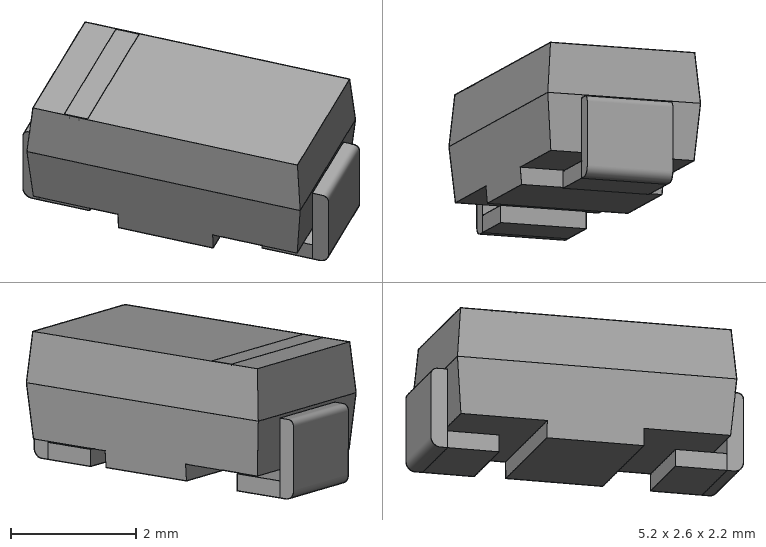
import cadquery as cq
import math

overall_length = 5.2
overall_height = 2.2

body_length = 4.65
body_width = 2.6
parting_height = 1.36
body_bottom = 0.435
draft_angle = 5.0

pad_length = 1.61
pad_bottom = 0.155

band_length = 0.395
band_width = 2.42
band_start_x = -1.72
band_depth = 0.05

lead_width = 1.455
plate_thickness = (overall_length - body_length) / 2
plate_height = 1.31
plate_top_radius = 0.105
plate_bottom_radius = 0.155
foot_length = 0.86
foot_thickness = 0.28


def drafted_block(end_height):
    """Block that narrows from the parting plane to end_height, above or below it."""
    height = abs(end_height - parting_height)
    inset = height * math.tan(math.radians(draft_angle))
    return (
        cq.Workplane("XY")
        .workplane(offset=parting_height)
        .rect(body_length, body_width)
        .workplane(offset=end_height - parting_height)
        .rect(body_length - 2 * inset, body_width - 2 * inset)
        .loft(ruled=True, combine=True)
    )


def make_band():
    """Thin strip across the top face."""
    return (
        cq.Workplane("XY")
        .box(band_length, band_width, band_depth, centered=(False, True, False))
        .translate((band_start_x, 0, overall_height - band_depth))
    )


def make_upper_body(band):
    """Upper moulding, with a recess that holds the band."""
    return drafted_block(overall_height).cut(band)


def make_lower_body():
    """Lower moulding, with the standoff pad continuing its side draft."""
    pad_zone = (
        cq.Workplane("XY")
        .box(pad_length, body_width, parting_height - pad_bottom, centered=(True, True, False))
        .translate((0, 0, pad_bottom))
    )
    pad = drafted_block(pad_bottom).intersect(pad_zone)
    return drafted_block(body_bottom).union(pad)


def make_plate(side):
    """Upright lead plate with rounded outer edges; side is -1 or +1 along X."""
    center_x = side * (overall_length - plate_thickness) / 2
    outer_face = ">X" if side > 0 else "<X"
    return (
        cq.Workplane("XY")
        .box(plate_thickness, lead_width, plate_height, centered=(True, True, False))
        .translate((center_x, 0, 0))
        .faces(outer_face)
        .edges(">Z")
        .fillet(plate_top_radius)
        .faces(outer_face)
        .edges("<Z")
        .fillet(plate_bottom_radius)
    )


def make_foot(side):
    """Flat lead foot running inward from its plate; side is -1 or +1 along X."""
    center_x = side * (body_length - foot_length) / 2
    return (
        cq.Workplane("XY")
        .box(foot_length, lead_width, foot_thickness, centered=(True, True, False))
        .translate((center_x, 0, 0))
    )


band = make_band()
upper_body = make_upper_body(band)
lower_body = make_lower_body()

lead_solids = []
for side in (-1, 1):
    lead_solids.append(make_plate(side).val())
    lead_solids.append(make_foot(side).val())

result = cq.Compound.makeCompound([upper_body.val(), lower_body.val(), band.val(), *lead_solids])